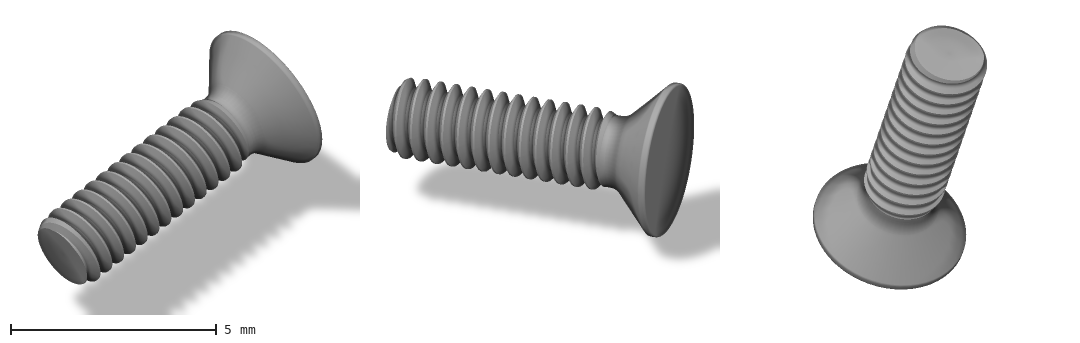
import cadquery as cq
import math

LENGTH = 7.0

HEAD_RADIUS = 1.9
RIM_HEIGHT = 0.17
RIM_FILLET = 0.05
CONE_ANGLE = math.radians(45)

NECK_RADIUS = 0.885
NECK_FILLET = 0.45
NECK_END = 1.51

THREAD_RADIUS = 1.0
PITCH = 0.4
FLANK_SLOPE = math.tan(math.radians(30))
CREST_WIDTH = PITCH / 8
THREAD_DEPTH = 1.2268 * PITCH / 2
ROOT_RADIUS = THREAD_RADIUS - THREAD_DEPTH
FIRST_CREST = 1.9
RIDGE_OVERLAP = 0.015

LEAD_IN_LENGTH = 0.25
TIP_RADIUS = 0.86
TIP_CHAMFER_LENGTH = 0.25
DISH_RADIUS = 0.8
DISH_DEPTH = 0.035

AXIS_START = (0, 0, 0)
AXIS_END = (0, 1, 0)


def make_head_and_neck():
    """Countersunk head, filleted neck and the taper that runs out the thread groove."""
    fillet_start_radius = NECK_RADIUS + NECK_FILLET * (1 - math.cos(CONE_ANGLE))
    cone_height = (HEAD_RADIUS - fillet_start_radius) / math.tan(CONE_ANGLE)
    fillet_start = RIM_HEIGHT + cone_height
    fillet_end = fillet_start + NECK_FILLET * math.sin(CONE_ANGLE)
    half_angle = CONE_ANGLE / 2
    fillet_middle_radius = NECK_RADIUS + NECK_FILLET * (1 - math.cos(half_angle))
    fillet_middle = fillet_end - NECK_FILLET * math.sin(half_angle)
    taper_end = NECK_END + (NECK_RADIUS - ROOT_RADIUS) * FLANK_SLOPE

    head = (
        cq.Workplane("XY")
        .lineTo(HEAD_RADIUS, 0)
        .lineTo(HEAD_RADIUS, -RIM_HEIGHT)
        .lineTo(fillet_start_radius, -fillet_start)
        .threePointArc((fillet_middle_radius, -fillet_middle), (NECK_RADIUS, -fillet_end))
        .lineTo(NECK_RADIUS, -NECK_END)
        .lineTo(ROOT_RADIUS, -taper_end)
        .lineTo(0, -taper_end)
        .close()
        .revolve(360, AXIS_START, AXIS_END)
    )
    rim_zone = cq.selectors.BoxSelector(
        (-2 * HEAD_RADIUS, -2 * RIM_HEIGHT, -2 * HEAD_RADIUS),
        (2 * HEAD_RADIUS, RIM_HEIGHT, 2 * HEAD_RADIUS),
    )
    return head.edges("%CIRCLE").edges(rim_zone).fillet(RIM_FILLET)


def make_thread_envelope():
    """Turned outline that limits the thread at both ends, with the dished tip face."""
    return (
        cq.Workplane("XY")
        .moveTo(0, -NECK_END)
        .lineTo(NECK_RADIUS, -NECK_END)
        .lineTo(THREAD_RADIUS, -NECK_END - LEAD_IN_LENGTH)
        .lineTo(THREAD_RADIUS, -LENGTH + TIP_CHAMFER_LENGTH)
        .lineTo(TIP_RADIUS, -LENGTH)
        .lineTo(DISH_RADIUS, -LENGTH)
        .lineTo(0, -LENGTH + DISH_DEPTH)
        .close()
        .revolve(360, AXIS_START, AXIS_END)
    )


def make_thread():
    """Core cylinder with a helical ridge, overrunning at both ends and then trimmed."""
    turns_to_tip = math.ceil((LENGTH - FIRST_CREST) / PITCH)
    turns_above_first_crest = 2
    start_depth = FIRST_CREST + (turns_to_tip + 1) * PITCH
    helix_height = (turns_to_tip + 1 + turns_above_first_crest) * PITCH

    base_radius = ROOT_RADIUS - RIDGE_OVERLAP
    crest_half = CREST_WIDTH / 2
    base_half = crest_half + (THREAD_RADIUS - base_radius) * FLANK_SLOPE

    helix = cq.Wire.makeHelix(PITCH, helix_height, THREAD_RADIUS)
    ridge = (
        cq.Workplane("XZ")
        .moveTo(base_radius, -base_half)
        .lineTo(THREAD_RADIUS, -crest_half)
        .lineTo(THREAD_RADIUS, crest_half)
        .lineTo(base_radius, base_half)
        .close()
        .sweep(cq.Workplane(obj=helix), isFrenet=True)
        .rotate((0, 0, 0), (1, 0, 0), -90)
        .translate((0, -start_depth, 0))
    )
    core = cq.Workplane("XZ").circle(ROOT_RADIUS).extrude(start_depth + PITCH)
    return core.union(ridge, clean=False).intersect(make_thread_envelope(), clean=False)


result = make_head_and_neck().union(make_thread(), clean=False)